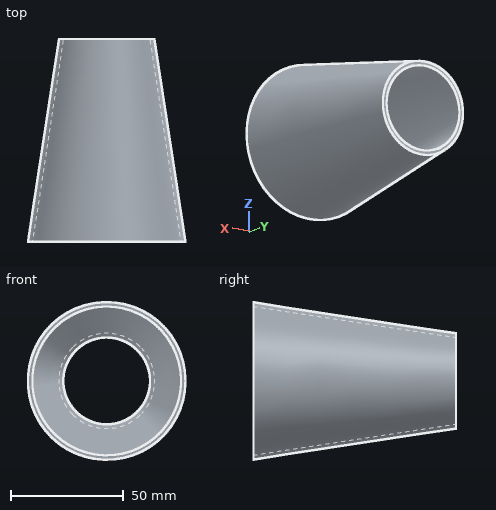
import cadquery as cq

LENGTH = 90.0
WIDE_DIAMETER = 70.0
NARROW_DIAMETER = 42.4
WALL = 2.0


def cone_frustum(wide_diameter, narrow_diameter):
    """Solid frustum running from Y = 0 (wide end) to Y = LENGTH (narrow end)."""
    wide_radius = wide_diameter / 2
    narrow_radius = narrow_diameter / 2
    half_profile = (
        cq.Workplane("XY")
        .moveTo(0, 0)
        .lineTo(wide_radius, 0)
        .lineTo(narrow_radius, LENGTH)
        .lineTo(0, LENGTH)
        .close()
    )
    return half_profile.revolve(360, (0, 0, 0), (0, 1, 0))


outer_cone = cone_frustum(WIDE_DIAMETER, NARROW_DIAMETER)
bore = cone_frustum(WIDE_DIAMETER - 2 * WALL, NARROW_DIAMETER - 2 * WALL)

result = outer_cone.cut(bore)